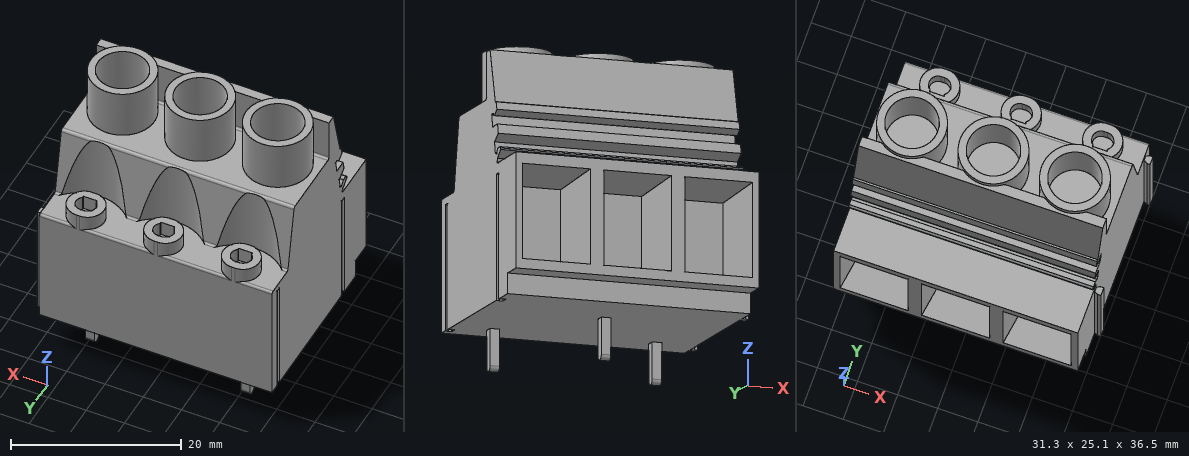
import cadquery as cq

POLES = 3
PITCH = 10.15
WIDTH = POLES * PITCH
SIDE_X = WIDTH / 2
POLE_XS = [(i - (POLES - 1) / 2) * PITCH for i in range(POLES)]

DEPTH = 25.1
FOOT_Y = 2.85
FOOT_HEIGHT = 2.5
ENTRY_TOP_Z = 16.45
SNAP_ROOT_Y = 6.3
SHELF_Z = 16.1
LEDGE_Z = 24.85
WALL_TOP_Z = 30.62
WALL_FRONT_Y = 8.72
WALL_BACK_Y = 9.95
SLOPE_TOP_Y = 19.25
SLOPE_BASE_Y = 20.9
EDGE_RADIUS = 0.3
LEDGE_EDGE_RADIUS = 0.4

TUBE_Y = 13.25
TUBE_DIAMETER = 8.32
TUBE_BORE = 6.4
TUBE_TOP_Z = 31.43

BOSS_RADIUS = 2.15
BOSS_HALF_STRAIGHT = 0.22
BOSS_WALL = 1.05
BOSS_TOP_Z = 18.03
BOSS_Y = DEPTH - BOSS_RADIUS
BOSS_FLAT_WIDTH = 1.8
SCOOP_RADIUS = 5.95

ENTRY_WIDTH = 8.45
ENTRY_HEIGHT = 11.45
ENTRY_FLOOR_WIDTH = 6.05
ENTRY_FLOOR_HEIGHT = 9.12
ENTRY_Z = 9.4
ENTRY_DEPTH = 6.75

RIB_REACH = 0.85
RIB_TAPER = 0.45
RIB_HEAD_WIDTH = 1.02
RIB_HEIGHT = 15.2
RIBS = [(23.45, 0.55), (6.2, 0.65)]

PIN_WIDTH = 1.2
PIN_LENGTH = 5.07
PIN_FRONT_Y = 11.17
PIN_REAR_Y = PIN_FRONT_Y + PITCH


def box(x0, x1, y0, y1, z0, z1):
    return cq.Workplane("XY").box(x1 - x0, y1 - y0, z1 - z0, centered=False).translate((x0, y0, z0))


def housing_profile():
    """Side section (Y, Z): stepped foot, wire-entry block, three snap teeth, wall, ledge and rear shelf."""
    lower_tooth = [
        (6.35, 16.6),
        (6.2, 17.0),
        (5.2, 17.85),
        (5.2, 18.03),
        (5.45, 18.25),
        (6.1, 18.25),
        (6.65, 17.63),
        (6.97, 17.8),
    ]
    middle_tooth = [(7.23, 19.2), (5.95, 19.95), (6.2, 21.15), (7.85, 21.15)]
    upper_tooth = [(8.18, 22.65), (7.9, 22.78), (7.3, 22.37), (6.42, 22.95), (6.7, 23.95), (6.97, 23.95)]
    return [
        (DEPTH, 0),
        (FOOT_Y, 0),
        (FOOT_Y, FOOT_HEIGHT),
        (0, FOOT_HEIGHT),
        (0, ENTRY_TOP_Z),
        (SNAP_ROOT_Y, ENTRY_TOP_Z),
        *lower_tooth,
        *middle_tooth,
        *upper_tooth,
        (WALL_FRONT_Y, WALL_TOP_Z),
        (WALL_BACK_Y, WALL_TOP_Z),
        (WALL_BACK_Y, LEDGE_Z),
        (SLOPE_TOP_Y, LEDGE_Z),
        (SLOPE_BASE_Y, SHELF_Z),
        (DEPTH, SHELF_Z),
    ]


def edge_along_x(y, z):
    return cq.selectors.NearestToPointSelector((0, y, z))


def housing_block():
    block = cq.Workplane("YZ").polyline(housing_profile()).close().extrude(SIDE_X, both=True)
    block = block.edges("|X").edges(edge_along_x(SLOPE_TOP_Y, LEDGE_Z)).fillet(LEDGE_EDGE_RADIUS)
    for corner in [(WALL_BACK_Y, LEDGE_Z), (SLOPE_BASE_Y, SHELF_Z), (DEPTH, SHELF_Z)]:
        block = block.edges("|X").edges(edge_along_x(*corner)).fillet(EDGE_RADIUS)
    return block


def cylinder(x, y, radius, z0, z1):
    return cq.Workplane("XY", origin=(x, y, z0)).circle(radius).extrude(z1 - z0)


def oval(x, radius, z0, z1):
    """Upright oval prism at a test point, with its straight stretch along X."""
    length = 2 * (radius + BOSS_HALF_STRAIGHT)
    return cq.Workplane("XY", origin=(x, BOSS_Y, z0)).slot2D(length, 2 * radius).extrude(z1 - z0)


def test_point_hole(x):
    """Oval hole squared off on the side facing the slope."""
    radius = BOSS_RADIUS - BOSS_WALL
    half_flat = BOSS_FLAT_WIDTH / 2
    flat_side = box(x - half_flat, x + half_flat, BOSS_Y - radius, BOSS_Y, SHELF_Z, BOSS_TOP_Z)
    return oval(x, radius, SHELF_Z, BOSS_TOP_Z).union(flat_side)


def wire_entry(x):
    """Rectangular funnel narrowing evenly from the entry face to its floor."""
    return (
        cq.Workplane("XZ", origin=(x, 0, ENTRY_Z))
        .rect(ENTRY_WIDTH, ENTRY_HEIGHT)
        .workplane(offset=-ENTRY_DEPTH)
        .rect(ENTRY_FLOOR_WIDTH, ENTRY_FLOOR_HEIGHT)
        .loft(combine=True)
    )


def dovetail(x, y, neck_width):
    """Vertical dovetail whose neck lies in the plane at x and whose head points to +X."""
    neck = neck_width / 2
    head = RIB_HEAD_WIDTH / 2
    outline = [
        (0, -neck),
        (RIB_TAPER, -head),
        (RIB_REACH, -head),
        (RIB_REACH, head),
        (RIB_TAPER, head),
        (0, neck),
    ]
    return cq.Workplane("XY", origin=(x, y, 0)).polyline(outline).close().extrude(RIB_HEIGHT)


def solder_pin(x, y):
    """Square pin standing against the underside of the housing, rounded at its tip."""
    half = PIN_WIDTH / 2
    tip_arc_z = half - PIN_LENGTH
    return (
        cq.Workplane("YZ", origin=(x, y, 0))
        .moveTo(-half, 0)
        .lineTo(-half, tip_arc_z)
        .threePointArc((0, -PIN_LENGTH), (half, tip_arc_z))
        .lineTo(half, 0)
        .close()
        .extrude(half, both=True)
    )


housing = housing_block()
for pole_x in POLE_XS:
    housing = housing.cut(cylinder(pole_x, DEPTH, SCOOP_RADIUS, SHELF_Z, LEDGE_Z))
    housing = housing.union(oval(pole_x, BOSS_RADIUS, SHELF_Z - EDGE_RADIUS, BOSS_TOP_Z))
    housing = housing.cut(test_point_hole(pole_x))
    housing = housing.union(cylinder(pole_x, TUBE_Y, TUBE_DIAMETER / 2, LEDGE_Z, TUBE_TOP_Z))
    housing = housing.cut(cylinder(pole_x, TUBE_Y, TUBE_BORE / 2, LEDGE_Z, TUBE_TOP_Z))
    housing = housing.cut(wire_entry(pole_x))
for rib_y, neck_width in RIBS:
    housing = housing.union(dovetail(SIDE_X, rib_y, neck_width))
    housing = housing.cut(dovetail(-SIDE_X, rib_y, neck_width))

pins = []
for pole, pole_x in enumerate(POLE_XS):
    pin_y = PIN_REAR_Y if pole % 2 == 0 else PIN_FRONT_Y
    pins.append(solder_pin(pole_x, pin_y))

result = cq.Compound.makeCompound([housing.val(), *[pin.val() for pin in pins]])